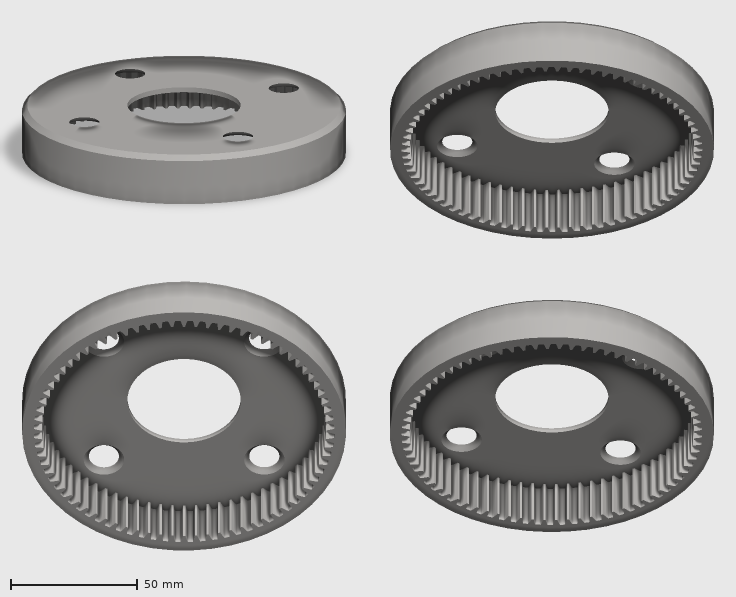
import cadquery as cq
import math

outer_diameter = 128.5
height = 20.0
edge_chamfer = 2.0
plate_thickness = 2.0

bore_diameter = 45.0
bolt_circle_diameter = 90.0
bolt_hole_count = 4
bolt_hole_diameter = 12.0
bolt_hole_flare_diameter = bolt_hole_diameter + 2 * plate_thickness

tooth_count = 76
tip_radius = 56.4
shoulder_radius = 58.9
root_radius = 59.6
tip_gap_share = 0.81
shoulder_gap_share = 0.55
root_gap_share = 0.41

cavity_depth = height - plate_thickness


def polar(radius, angle):
    """Point at a radius and an angle around the part's axis."""
    return (radius * math.cos(angle), radius * math.sin(angle))


def rim_and_plate():
    """Solid disc with its upper rim edge chamfered."""
    disc = cq.Workplane("XY").circle(outer_diameter / 2).extrude(height)
    return disc.faces(">Z").edges().chamfer(edge_chamfer)


def toothed_cavity():
    """Space under the plate, bounded by the internal teeth."""
    pitch_angle = 2 * math.pi / tooth_count
    rising_flank = [
        (tip_radius, tip_gap_share * pitch_angle / 2),
        (shoulder_radius, shoulder_gap_share * pitch_angle / 2),
        (root_radius, root_gap_share * pitch_angle / 2),
    ]
    outline = []
    for gap in range(tooth_count):
        gap_angle = gap * pitch_angle
        outline += [polar(radius, gap_angle - offset) for radius, offset in rising_flank]
        outline += [polar(radius, gap_angle + offset) for radius, offset in reversed(rising_flank)]
    return cq.Workplane("XY").polyline(outline).close().extrude(cavity_depth)


def central_bore():
    """Straight hole through the middle of the plate."""
    return cq.Workplane("XY").circle(bore_diameter / 2).extrude(height)


def bolt_holes():
    """Cones through the plate, narrow at the top face and flaring at 45 degrees to its underside."""
    cone = cq.Solid.makeCone(bolt_hole_flare_diameter / 2, bolt_hole_diameter / 2, plate_thickness)
    return (
        cq.Workplane("XY")
        .workplane(offset=cavity_depth)
        .polarArray(bolt_circle_diameter / 2, 0, 360, bolt_hole_count)
        .eachpoint(lambda place: cone.moved(place))
    )


result = rim_and_plate().cut(toothed_cavity()).cut(central_bore()).cut(bolt_holes())